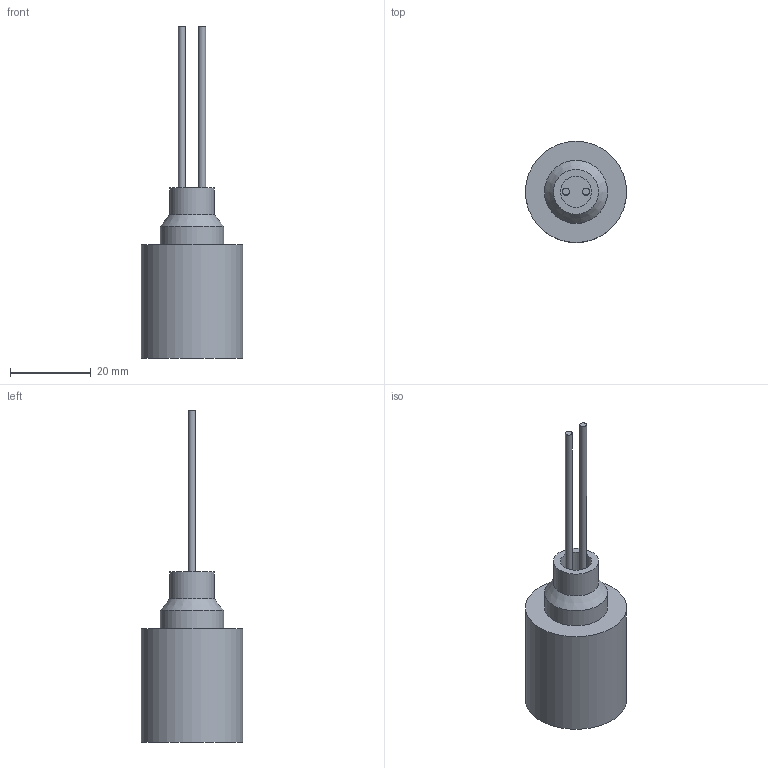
import cadquery as cq

body_diameter = 25.0
body_height = 28.0

collar_diameter = 15.6
collar_height = 4.5
taper_height = 2.9
tube_diameter = 11.1
neck_height = 14.0

bore_diameter = 7.7
bore_depth = neck_height

wire_diameter = 1.7
wire_spacing = 5.0
overall_height = 82.0

collar_top = body_height + collar_height
taper_top = collar_top + taper_height
neck_top = body_height + neck_height
bore_floor = neck_top - bore_depth


def make_housing():
    """Body and neck as one revolved profile, with the bore included."""
    body_radius = body_diameter / 2
    collar_radius = collar_diameter / 2
    tube_radius = tube_diameter / 2
    bore_radius = bore_diameter / 2
    profile = (
        cq.Workplane("XZ")
        .moveTo(0, 0)
        .lineTo(body_radius, 0)
        .lineTo(body_radius, body_height)
        .lineTo(collar_radius, body_height)
        .lineTo(collar_radius, collar_top)
        .lineTo(tube_radius, taper_top)
        .lineTo(tube_radius, neck_top)
        .lineTo(bore_radius, neck_top)
        .lineTo(bore_radius, bore_floor)
        .lineTo(0, bore_floor)
        .close()
    )
    return profile.revolve(360, (0, 0), (0, 1))


def make_wires():
    """Pair of round wires along X, rooted inside the solid body for a sound joint."""
    root_depth = 1.0
    wire_bottom = bore_floor - root_depth
    return (
        cq.Workplane("XY")
        .workplane(offset=wire_bottom)
        .pushPoints([(side * wire_spacing / 2, 0) for side in (-1, 1)])
        .circle(wire_diameter / 2)
        .extrude(overall_height - wire_bottom)
    )


result = make_housing().union(make_wires())